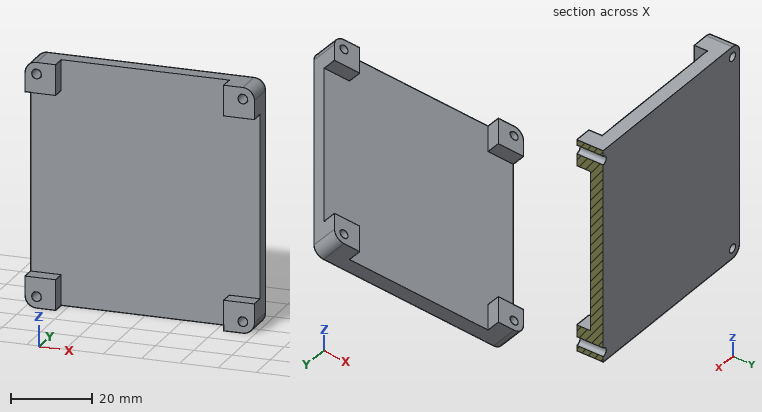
import cadquery as cq

width = 59.95
depth = 8.0
height = 64.0

plate_thickness = depth / 2
foot_side = 8.0
corner_radius = 3.0
hole_diameter = 2.5

hole_spacing_x = width - 2 * corner_radius
hole_spacing_z = height - 2 * corner_radius
foot_spacing_x = width - foot_side
foot_spacing_z = height - foot_side


def back_plate():
    """Flat plate on the +Y side, with its back face at Y = depth."""
    return (
        cq.Workplane("XZ", origin=(0, depth, 0))
        .rect(width, height)
        .extrude(plate_thickness)
    )


def corner_feet():
    """Four square feet running the full depth, from the back to Y = 0."""
    return (
        cq.Workplane("XZ", origin=(0, depth, 0))
        .rarray(foot_spacing_x, foot_spacing_z, 2, 2)
        .rect(foot_side, foot_side)
        .extrude(depth)
    )


def corner_holes():
    """Cutters for the through holes in the feet."""
    return (
        cq.Workplane("XZ", origin=(0, depth, 0))
        .rarray(hole_spacing_x, hole_spacing_z, 2, 2)
        .circle(hole_diameter / 2)
        .extrude(depth)
    )


def rounded_envelope():
    """Outer block with the four rounded corners."""
    return (
        cq.Workplane("XZ", origin=(0, depth, 0))
        .rect(width, height)
        .extrude(depth)
        .edges("|Y")
        .fillet(corner_radius)
    )


body = back_plate().union(corner_feet())
result = body.intersect(rounded_envelope()).cut(corner_holes())